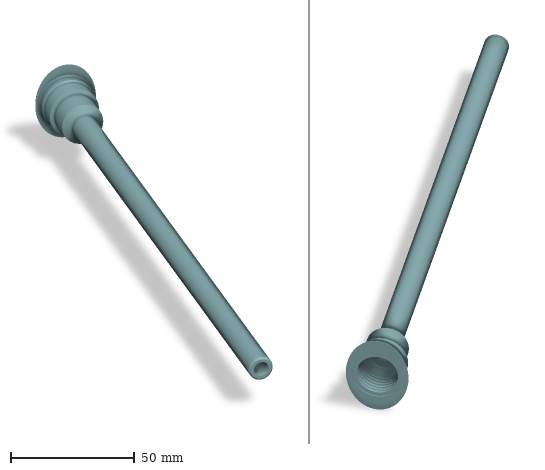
import cadquery as cq

total_length = 251.3
flange_width = 26.0
flange_height = 33.0
flange_thickness = 0.3

neck_diameter = 22.4
neck_end = 3.8
collar_diameter = 21.0
collar_end = 11.5
barrel_diameter = 17.5
barrel_end = 22.0
nose_end = 24.5
neck_flare = 0.8
step_taper_length = 0.8

mouth_diameter = 20.4
mouth_depth = 0.5
socket_diameter = 17.0
socket_end = 12.5
funnel_throat_diameter = 12.0
funnel_end = 14.3
throat_end = 14.8
throat_diameter = 11.0
bore_diameter = 6.3
bore_start = 15.8

groove_diameter = 17.5
groove_width = 1.0
groove_pitch = 2.0
groove_count = 5
first_groove_start = 1.5

tube_diameter = 10.3
tube_start = 17.5
tip_chamfer_length = 0.8
tip_chamfer_depth = 0.8


def revolve_about_x(profile):
    """Solid of revolution from (x, radius) points, with the X axis as its centre line."""
    return cq.Workplane("XY").polyline(profile).close().revolve(360, (0, 0, 0), (1, 0, 0))


def make_groove(start):
    """Disc that cuts one ring groove into the socket wall."""
    return revolve_about_x([
        (start, 0),
        (start, groove_diameter / 2),
        (start + groove_width, groove_diameter / 2),
        (start + groove_width, 0),
    ])


def make_hub():
    flange = cq.Workplane("YZ").ellipse(flange_width / 2, flange_height / 2).extrude(flange_thickness)
    outside = revolve_about_x([
        (0, 0),
        (0, neck_diameter / 2 + neck_flare),
        (flange_thickness, neck_diameter / 2 + neck_flare),
        (flange_thickness + neck_flare, neck_diameter / 2),
        (neck_end, neck_diameter / 2),
        (neck_end + step_taper_length, collar_diameter / 2),
        (collar_end, collar_diameter / 2),
        (collar_end + step_taper_length, barrel_diameter / 2),
        (barrel_end, barrel_diameter / 2),
        (nose_end, tube_diameter / 2),
        (nose_end, 0),
    ])
    cavity = revolve_about_x([
        (0, 0),
        (0, mouth_diameter / 2),
        (mouth_depth, mouth_diameter / 2),
        (mouth_depth, socket_diameter / 2),
        (socket_end, socket_diameter / 2),
        (funnel_end, funnel_throat_diameter / 2),
        (throat_end, throat_diameter / 2),
        (bore_start, bore_diameter / 2),
        (tube_start, bore_diameter / 2),
        (tube_start, tube_diameter / 2),
        (nose_end, tube_diameter / 2),
        (nose_end, 0),
    ])
    body = flange.union(outside).cut(cavity)
    for index in range(groove_count):
        body = body.cut(make_groove(first_groove_start + index * groove_pitch))
    return body


def make_tube():
    return revolve_about_x([
        (tube_start, bore_diameter / 2),
        (tube_start, tube_diameter / 2),
        (total_length - tip_chamfer_length, tube_diameter / 2),
        (total_length, tube_diameter / 2 - tip_chamfer_depth),
        (total_length, bore_diameter / 2),
    ])


hub = make_hub()
tube = make_tube()
result = cq.Compound.makeCompound([hub.val(), tube.val()])